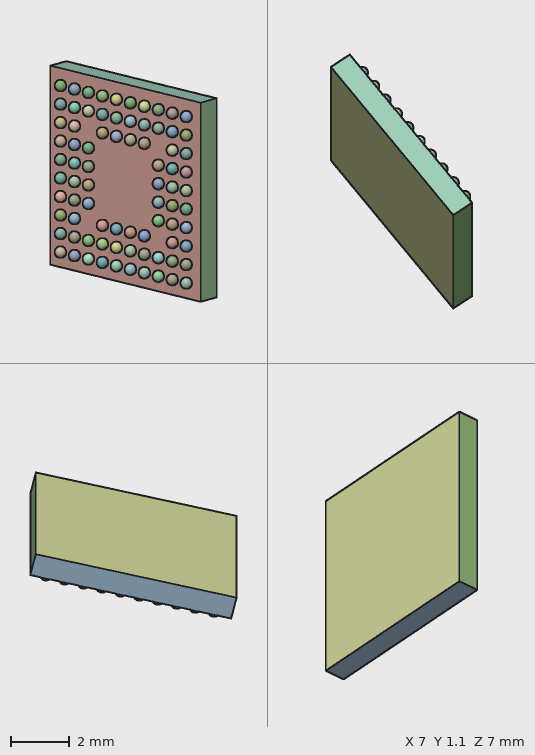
import cadquery as cq

body_side = 7.0
total_depth = 1.1
body_depth = 0.8

balls_per_side = 10
grid_span = 5.85
ball_diameter = 0.4
ball_radius = ball_diameter / 2
pitch = grid_span / (balls_per_side - 1)
ball_height = total_depth - body_depth
ball_center_y = ball_radius - ball_height

last_ring = 2


def has_ball(column, row):
    """Tell whether a grid position carries a ball."""
    column_inset = min(column, balls_per_side - 1 - column)
    row_inset = min(row, balls_per_side - 1 - row)
    is_empty_center = min(column_inset, row_inset) > last_ring
    is_missing_corner = column_inset == last_ring and row_inset == last_ring
    return not is_empty_center and not is_missing_corner


def make_body():
    """Plate with its ball face on the plane Y = 0."""
    return cq.Workplane("XY").box(body_side, body_depth, body_side, centered=(True, False, True))


def make_balls():
    """Spheres at all the occupied grid positions."""
    centers = [
        (column * pitch - grid_span / 2, ball_center_y, row * pitch - grid_span / 2)
        for column in range(balls_per_side)
        for row in range(balls_per_side)
        if has_ball(column, row)
    ]
    return cq.Workplane("XY").pushPoints(centers).sphere(ball_radius, combine=False)


result = make_body().union(make_balls())